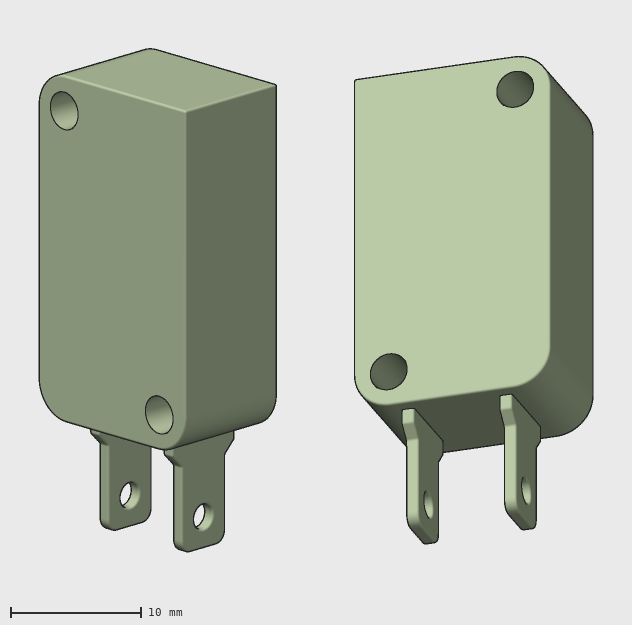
import cadquery as cq

overall_height = 37.0
body_width = 16.0
body_depth = 10.0
body_height = 27.8
body_bottom = overall_height - body_height

corner_radius = 3.0
edge_radius = 0.2

mount_hole_diameter = 3.0
mount_spacing_x = 10.3
mount_spacing_z = 22.15

terminal_thickness = 1.05
terminal_spacing = 7.95
first_terminal_x = 4.05
terminal_y = 0.48
neck_width = 6.77
blade_width = 4.75
neck_length = 1.2
shoulder_drop = (neck_width - blade_width) / 2
tip_radius = 1.0
shoulder_radius = 0.3
eyelet_diameter = 2.0
eyelet_height = 2.5


def make_body():
    """Housing block with three round corners, one nearly sharp corner and softened edges."""
    block = cq.Workplane("XY").box(body_width, body_depth, body_height)
    block = block.edges("|Y").edges("<X or <Z").fillet(corner_radius)
    block = block.edges("|Y").edges(">X and >Z").fillet(edge_radius)
    block = block.faces("<Y or >Y").edges().fillet(edge_radius)

    hole_x = mount_spacing_x / 2
    hole_z = mount_spacing_z / 2
    holes = (
        cq.Workplane("XZ")
        .pushPoints([(-hole_x, hole_z), (hole_x, -hole_z)])
        .circle(mount_hole_diameter / 2)
        .extrude(body_depth, both=True)
    )
    centre = (body_width / 2, 0, body_bottom + body_height / 2)
    return block.cut(holes).translate(centre)


def make_terminal(x):
    """Flat blade centred on x, with sloped shoulders and an eyelet near its tip."""
    half_neck = neck_width / 2
    half_blade = blade_width / 2
    shoulder_top = body_bottom - neck_length
    shoulder_bottom = shoulder_top - shoulder_drop
    root = body_bottom + edge_radius

    blade = (
        cq.Workplane("YZ")
        .moveTo(-half_neck, root)
        .lineTo(-half_neck, shoulder_top)
        .lineTo(-half_blade, shoulder_bottom)
        .lineTo(-half_blade, 0)
        .lineTo(half_blade, 0)
        .lineTo(half_blade, shoulder_bottom)
        .lineTo(half_neck, shoulder_top)
        .lineTo(half_neck, root)
        .close()
        .extrude(terminal_thickness / 2, both=True)
    )
    blade = blade.edges("|X").edges("not (<Z or >Z)").fillet(shoulder_radius)
    blade = blade.edges("|X and <Z").fillet(tip_radius)

    eyelet = (
        cq.Workplane("YZ")
        .center(0, eyelet_height)
        .circle(eyelet_diameter / 2)
        .extrude(terminal_thickness, both=True)
    )
    blade = blade.cut(eyelet)
    blade = blade.faces("<X or >X").edges().fillet(edge_radius)
    return blade.translate((x, terminal_y, 0))


result = make_body()
for terminal_x in (first_terminal_x, first_terminal_x + terminal_spacing):
    result = result.union(make_terminal(terminal_x))